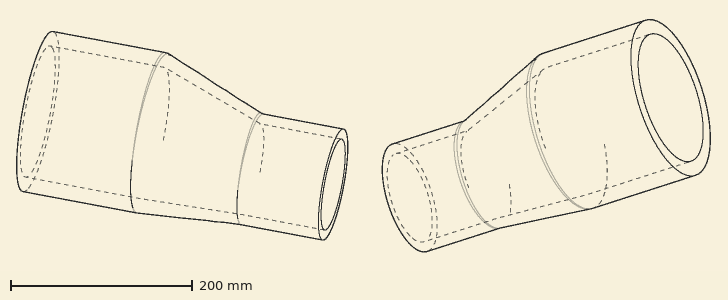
import cadquery as cq

total_length = 345.0
large_outer_diameter = 180.0
large_inner_diameter = 147.3
small_outer_diameter = 125.0
small_inner_diameter = 102.0
large_end_length = 130.5
small_end_length = 93.0
blend_radius = 10.0
flush_side_inset = 0.45

taper_length = total_length - large_end_length - small_end_length
taper_end = large_end_length + taper_length
small_axis_y = -(large_outer_diameter - small_outer_diameter) / 2 + flush_side_inset


def cylinder(diameter, start_x, length, axis_y=0):
    """Round bar along X."""
    plane = cq.Workplane("YZ", origin=(start_x, axis_y, 0))
    return plane.circle(diameter / 2).extrude(length)


def eccentric_reducer(large_diameter, small_diameter):
    """Solid envelope: large cylinder, offset taper, small cylinder."""
    large_end = cylinder(large_diameter, 0, large_end_length)
    taper = (
        cq.Workplane("YZ", origin=(large_end_length, 0, 0))
        .circle(large_diameter / 2)
        .workplane(offset=taper_length)
        .center(small_axis_y, 0)
        .circle(small_diameter / 2)
        .loft(ruled=True)
    )
    small_end = cylinder(small_diameter, taper_end, small_end_length, small_axis_y)
    return large_end.union(taper).union(small_end)


def blend_ring(body, ring_x):
    """Round the outer corner ring lying in the plane X = ring_x."""
    half_thickness = 0.5
    reach = large_outer_diameter
    ring = cq.selectors.BoxSelector(
        (ring_x - half_thickness, -reach, -reach),
        (ring_x + half_thickness, reach, reach),
        boundingbox=True,
    )
    return body.edges(ring).fillet(blend_radius)


outside = eccentric_reducer(large_outer_diameter, small_outer_diameter)
for corner_x in (large_end_length, taper_end):
    outside = blend_ring(outside, corner_x)

bore = eccentric_reducer(large_inner_diameter, small_inner_diameter)
result = outside.cut(bore)